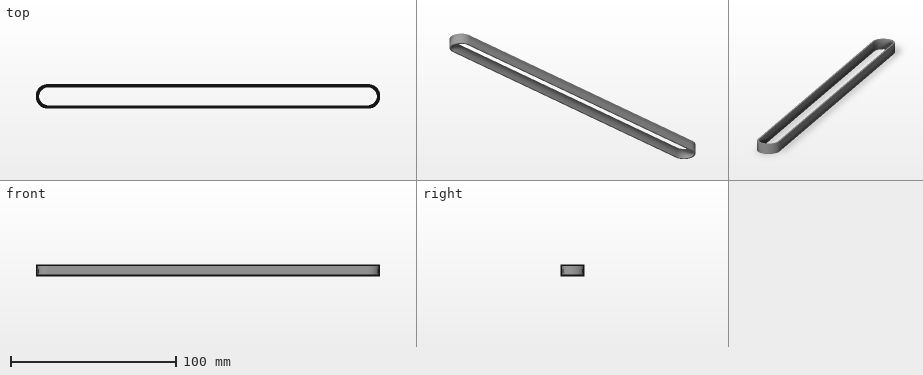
import cadquery as cq

length = 207.5
width = 14.0
height = 6.5
wall = 1.0

outer = cq.Workplane("XY").slot2D(length, width).extrude(height)

opening = cq.Workplane("XY").slot2D(length - 2 * wall, width - 2 * wall).extrude(height)

result = outer.cut(opening)